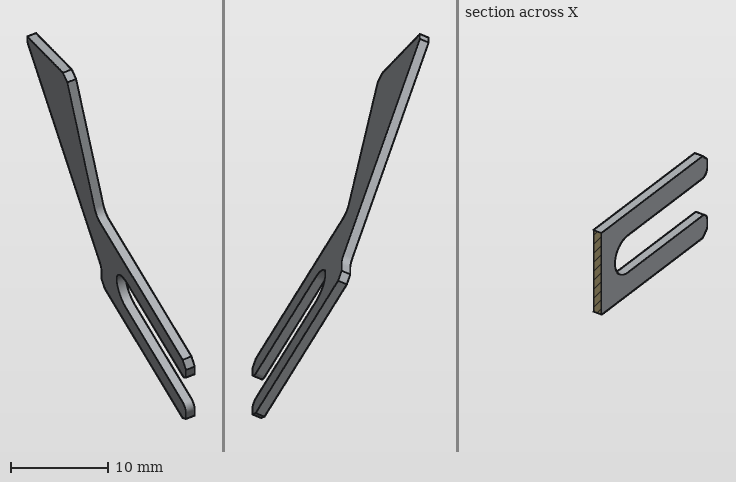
import cadquery as cq
import math

length = 37.55
height = 25.08
thickness = 1.0

body_length = 20.0
body_height = 10.0
body_left = length - body_length
slot_width = 4.5
slot_depth = 16.35
corner_chamfer = 0.8
prong_fillet = 0.9

end_angle = math.radians(25)
end_flat_bottom = 20.25
end_flat_height = 0.9
arm_chamfer = 0.8
bend_radius = 1.5

end_flat_top = end_flat_bottom + end_flat_height
peak_x = (height - end_flat_top) / math.tan(end_angle)
arm_corner_x = peak_x + arm_chamfer * math.cos(end_angle)
arm_corner_z = height + arm_chamfer * math.sin(end_angle)
arm_root_x = arm_corner_x + (arm_corner_z - body_height) * math.tan(end_angle)
heel_z = end_flat_bottom - body_left


def edge_at(x, z):
    """Select the edge across the thickness that passes through (x, z)."""
    reach = 0.05
    return cq.selectors.BoxSelector(
        (x - reach, -thickness, z - reach), (x + reach, thickness, z + reach)
    )


def make_plate():
    """Sharp-cornered plate, centred on the XZ plane."""
    outline = [
        (body_left, 0),
        (length, 0),
        (length, body_height),
        (arm_root_x, body_height),
        (arm_corner_x, arm_corner_z),
        (0, end_flat_top),
        (0, end_flat_bottom),
        (body_left, heel_z),
    ]
    return cq.Workplane("XZ").polyline(outline).close().extrude(thickness / 2, both=True)


def make_slot():
    """Round-ended slot that opens at the right end of the body."""
    slot_radius = slot_width / 2
    middle_z = body_height / 2
    slot_end_x = length - slot_depth
    round_start_x = slot_end_x + slot_radius
    return (
        cq.Workplane("XZ")
        .moveTo(length, middle_z - slot_radius)
        .lineTo(round_start_x, middle_z - slot_radius)
        .threePointArc((slot_end_x, middle_z), (round_start_x, middle_z + slot_radius))
        .lineTo(length, middle_z + slot_radius)
        .close()
        .extrude(thickness, both=True)
    )


result = make_plate().cut(make_slot())

for x, z in [(body_left, 0), (length, 0), (length, body_height)]:
    result = result.edges(edge_at(x, z)).chamfer(corner_chamfer)

result = result.edges(edge_at(arm_corner_x, arm_corner_z)).chamfer(arm_chamfer)

for x, z in [(arm_root_x, body_height), (body_left, heel_z)]:
    result = result.edges(edge_at(x, z)).fillet(bend_radius)

for side in (-1, 1):
    mouth_z = (body_height + side * slot_width) / 2
    result = result.edges(edge_at(length, mouth_z)).fillet(prong_fillet)